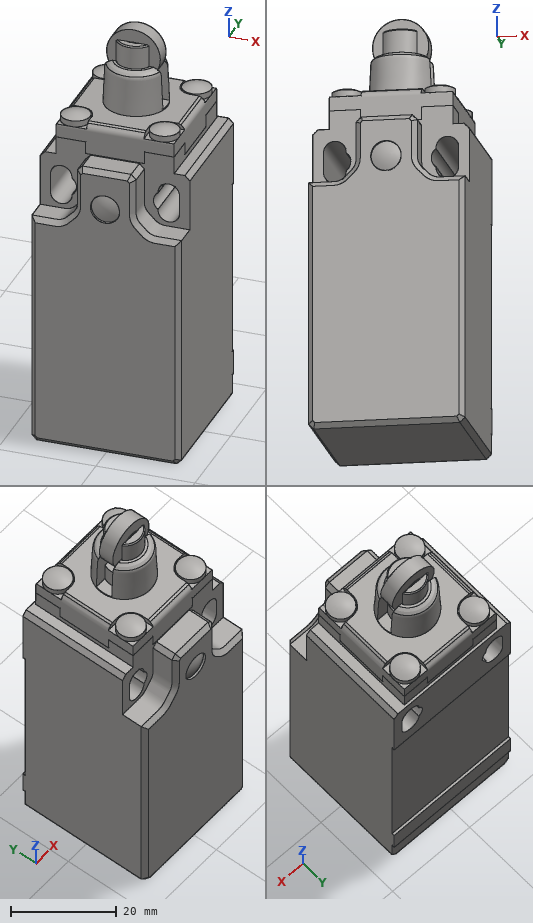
import cadquery as cq

TOTAL_HEIGHT = 83.6

HOUSING_WIDTH = 30.3
SHOULDER_HEIGHT = 59.9
EDGE_CHAMFER = 1.0
FRONT_DEPTH = 17.55
NECK_SIZE = 23.9
NECK_TOP = 63.5
RIB_HEIGHT = 0.6
BACK_RIBS = [(4.9, 9.95), (46.1, SHOULDER_HEIGHT)]

TONGUE_WIDTH = 11.9
TONGUE_TOP = 60.9
COVER_SHOULDER = 48.4
COVER_CORNER = 3.0
COVER_ROUND = 2.9

SLOT_SPACING = 21.7
SLOT_Z = 53.4
SLOT_DIAMETER = 4.35
SLOT_LENGTH = 8.2
SLOT_BULGE_OFFSET = 0.9

DOME_DIAMETER = 5.85
DOME_RISE = 0.75
FASTENER_HEIGHT = 2.0
BUTTON_Z = 52.8
BUTTON_PROUD = 0.25

HEAD_TOP = 67.5
KEY_WIDTH = 11.9
KEY_BOTTOM = 61.0
RIM_ROUND_BOTTOM = 65.8
RIM_ROUND_MIDDLE = (11.9, 66.3)
RIM_ROUND_TOP = (11.6, 66.7)
RIM_BEVEL_MIDDLE = (11.1, 67.2)
RIM_BEVEL_TOP = 10.6
SCREW_SEAT = 66.3
SCREW_SPACING = 18.0
SCREW_SEAT_RADIUS = 3.2

SLEEVE_BASE_RADIUS = 6.35
SLEEVE_FLOOR = 0.25
SLEEVE_ROUND_BOTTOM = (6.0, 74.9)
SLEEVE_ROUND_MIDDLE = (5.9, 75.3)
SLEEVE_ROUND_TOP = (5.8, 75.65)
SLEEVE_BEVEL_MIDDLE = (5.3, 76.1)
SLEEVE_BEVEL_TOP = 4.5
SLEEVE_TOP = 76.4
CORE_RADIUS = 3.9
CORE_TOP = 81.2
CORE_CHAMFER = 0.25
CORE_SLOT_FLOOR = 71.9
FORK_GAP = 3.8
LUG_GAP = 4.3
BOSS_RADIUS = 2.9

ROLLER_RADIUS = 5.4
ROLLER_WIDTH = 3.3
ROLLER_Z = TOTAL_HEIGHT - ROLLER_RADIUS

NECK_HALF = NECK_SIZE / 2


def block(x_size, y_size, z_bottom, z_top):
    """Box centred on the Z axis between two heights."""
    return cq.Workplane("XY").workplane(offset=z_bottom).rect(x_size, y_size).extrude(z_top - z_bottom)


def domed_fastener():
    """Upright round fastener head whose top is a shallow spherical dome."""
    radius = DOME_DIAMETER / 2
    sphere_radius = (radius**2 + DOME_RISE**2) / (2 * DOME_RISE)
    return (
        cq.Workplane("XZ")
        .lineTo(radius, 0)
        .lineTo(radius, FASTENER_HEIGHT - DOME_RISE)
        .radiusArc((0, FASTENER_HEIGHT), -sphere_radius)
        .close()
        .revolve(360, (0, 0, 0), (0, 1, 0))
    )


def key_cross(z_bottom, z_top):
    """Two crossing bars that key the head into the housing neck."""
    along_x = block(NECK_SIZE, KEY_WIDTH, z_bottom, z_top)
    along_y = block(KEY_WIDTH, NECK_SIZE, z_bottom, z_top)
    return along_x.union(along_y)


def rear_body():
    """Housing behind the cover: block, neck and the ribs across the back."""
    body = block(HOUSING_WIDTH, NECK_SIZE, 0, SHOULDER_HEIGHT)
    for rib_bottom, rib_top in BACK_RIBS:
        rib = block(HOUSING_WIDTH, RIB_HEIGHT, rib_bottom, rib_top)
        body = body.union(rib.translate((0, NECK_HALF + RIB_HEIGHT / 2, 0)))
    envelope_depth = 2 * (NECK_HALF + RIB_HEIGHT)
    envelope = block(HOUSING_WIDTH, envelope_depth, 0, SHOULDER_HEIGHT).edges("|Y").chamfer(EDGE_CHAMFER)
    neck = block(NECK_SIZE, NECK_SIZE, SHOULDER_HEIGHT, NECK_TOP)
    return body.intersect(envelope).union(neck)


def front_cover():
    """Raised cover with a central tongue and chamfered front edges."""
    half = HOUSING_WIDTH / 2
    tongue = TONGUE_WIDTH / 2
    corner = COVER_CORNER
    cover = (
        cq.Workplane("XZ", origin=(0, -NECK_HALF, 0))
        .polyline([
            (-half, 0),
            (half, 0),
            (half, COVER_SHOULDER),
            (tongue + corner, COVER_SHOULDER),
            (tongue, COVER_SHOULDER + corner),
            (tongue, TONGUE_TOP),
            (-tongue, TONGUE_TOP),
            (-tongue, COVER_SHOULDER + corner),
            (-tongue - corner, COVER_SHOULDER),
            (-half, COVER_SHOULDER),
        ])
        .close()
        .extrude(FRONT_DEPTH - NECK_HALF)
    )
    inner_corners = cq.selectors.BoxSelector(
        (EDGE_CHAMFER - half, -FRONT_DEPTH, EDGE_CHAMFER),
        (half - EDGE_CHAMFER, -NECK_HALF, TONGUE_TOP - EDGE_CHAMFER),
    )
    cover = cover.edges("|Y").edges(inner_corners).fillet(COVER_ROUND)
    top_corners = cover.edges("|Y").edges(">Z")
    bottom_corners = cover.edges("|Y").edges("<Z")
    cover = cover.newObject(top_corners.vals() + bottom_corners.vals()).chamfer(EDGE_CHAMFER)
    return cover.faces("<Y").edges().chamfer(EDGE_CHAMFER)


def mounting_slots():
    """Upright slots through the housing, each with a bulge on its inner side."""
    cutters = []
    for side in (-1, 1):
        slot_x = side * SLOT_SPACING / 2
        slot = (
            cq.Workplane("XZ")
            .center(slot_x, SLOT_Z)
            .slot2D(SLOT_LENGTH, SLOT_DIAMETER, 90)
            .extrude(HOUSING_WIDTH, both=True)
        )
        bulge = (
            cq.Workplane("XZ")
            .center(slot_x - side * SLOT_BULGE_OFFSET, SLOT_Z)
            .circle(SLOT_DIAMETER / 2)
            .extrude(HOUSING_WIDTH, both=True)
        )
        cutters.append(slot.union(bulge))
    return cutters[0].union(cutters[1])


def make_housing():
    housing = rear_body().union(front_cover())
    housing = housing.cut(key_cross(KEY_BOTTOM, NECK_TOP))
    housing = housing.cut(mounting_slots())
    recess = (
        cq.Workplane("XZ", origin=(0, -FRONT_DEPTH, BUTTON_Z))
        .circle(DOME_DIAMETER / 2)
        .extrude(BUTTON_PROUD - DOME_RISE)
    )
    button = (
        domed_fastener()
        .rotate((0, 0, 0), (1, 0, 0), 90)
        .translate((0, FASTENER_HEIGHT - BUTTON_PROUD - FRONT_DEPTH, BUTTON_Z))
    )
    return housing.cut(recess).union(button)


def head_plate():
    """Square plate whose four top edges are rounded, then bevelled in two flats."""
    half_bar = (
        cq.Workplane("XZ", origin=(0, NECK_HALF, 0))
        .moveTo(0, NECK_TOP)
        .lineTo(NECK_HALF, NECK_TOP)
        .lineTo(NECK_HALF, RIM_ROUND_BOTTOM)
        .threePointArc(RIM_ROUND_MIDDLE, RIM_ROUND_TOP)
        .lineTo(*RIM_BEVEL_MIDDLE)
        .lineTo(RIM_BEVEL_TOP, HEAD_TOP)
        .lineTo(0, HEAD_TOP)
        .close()
        .extrude(NECK_SIZE)
    )
    bar = half_bar.union(half_bar.mirror("YZ"))
    return bar.intersect(bar.rotate((0, 0, 0), (0, 0, 1), 90))


def make_head():
    """Square head with keyed underside and four screw heads seated in corner pockets."""
    head = head_plate().union(key_cross(KEY_BOTTOM, NECK_TOP))
    screw = domed_fastener()
    for side_x in (-1, 1):
        for side_y in (-1, 1):
            place = (side_x * SCREW_SPACING / 2, side_y * SCREW_SPACING / 2, SCREW_SEAT)
            head = head.cut(screw_seat(side_x, side_y).translate(place))
            head = head.union(screw.translate(place))
    return head


def screw_seat(side_x, side_y):
    """Corner pocket around one screw: a round inner end opening to both outer sides."""
    width = 2 * SCREW_SEAT_RADIUS
    shift_x = side_x * SCREW_SEAT_RADIUS
    shift_y = side_y * SCREW_SEAT_RADIUS
    depth = HEAD_TOP - SCREW_SEAT
    seat = cq.Workplane("XY").circle(SCREW_SEAT_RADIUS).extrude(depth)
    for x, y in ((shift_x, 0), (0, shift_y), (shift_x, shift_y)):
        seat = seat.union(block(width, width, 0, depth).translate((x, y, 0)))
    return seat


def sleeve_body():
    """Tapered sleeve with a bevelled and rounded top, slotted right through along X."""
    sleeve = (
        cq.Workplane("XZ")
        .moveTo(0, HEAD_TOP)
        .lineTo(SLEEVE_BASE_RADIUS, HEAD_TOP)
        .lineTo(*SLEEVE_ROUND_BOTTOM)
        .threePointArc(SLEEVE_ROUND_MIDDLE, SLEEVE_ROUND_TOP)
        .lineTo(*SLEEVE_BEVEL_MIDDLE)
        .lineTo(SLEEVE_BEVEL_TOP, SLEEVE_TOP)
        .lineTo(0, SLEEVE_TOP)
        .close()
        .revolve(360, (0, 0, 0), (0, 1, 0))
    )
    return sleeve.cut(block(2 * SLEEVE_BASE_RADIUS, FORK_GAP, HEAD_TOP + SLEEVE_FLOOR, SLEEVE_TOP))


def forked_core():
    """Round core forked at the top, with a boss on the inside of each fork arm."""
    core = (
        cq.Workplane("XY")
        .workplane(offset=HEAD_TOP)
        .circle(CORE_RADIUS)
        .extrude(CORE_TOP - HEAD_TOP)
        .faces(">Z")
        .edges()
        .chamfer(CORE_CHAMFER)
    )
    core = core.cut(block(2 * CORE_RADIUS, LUG_GAP, SLEEVE_TOP, CORE_TOP))
    bosses = (
        cq.Workplane("XZ", origin=(0, 0, ROLLER_Z))
        .circle(BOSS_RADIUS)
        .extrude(LUG_GAP / 2, both=True)
    )
    return core.union(bosses).cut(block(2 * CORE_RADIUS, FORK_GAP, CORE_SLOT_FLOOR, CORE_TOP))


def make_plunger():
    """Slotted tapered sleeve around a core that forks beside the roller."""
    return sleeve_body().union(forked_core())


def make_roller():
    wheel = cq.Workplane("XZ", origin=(0, ROLLER_WIDTH / 2, ROLLER_Z)).circle(ROLLER_RADIUS)
    return wheel.extrude(ROLLER_WIDTH)


housing = make_housing()
head = make_head()
plunger = make_plunger()
roller = make_roller()
result = cq.Compound.makeCompound([housing.val(), head.val(), plunger.val(), roller.val()])